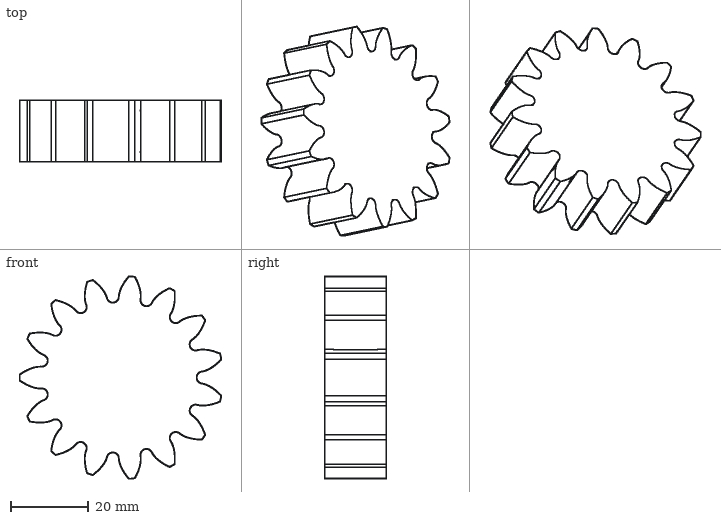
import cadquery as cq
import math

tooth_count = 15
overall_height = 52.65
root_radius = 19.6
base_radius = 21.1
tip_half_angle = math.radians(1.7)
face_width = 16.0
flank_points = 7

pitch_angle = 2 * math.pi / tooth_count

tip_radius = overall_height / 2 / math.cos(pitch_angle / 4 - tip_half_angle)


def involute_angle(radius):
    """Angle swept by the involute between the base circle and a radius."""
    pressure_angle = math.acos(base_radius / radius)
    return math.tan(pressure_angle) - pressure_angle


def polar(radius, angle):
    return (radius * math.cos(angle), radius * math.sin(angle))


base_half_angle = tip_half_angle + involute_angle(tip_radius)


def flank(tooth_angle, side):
    """Points from base to tip on one side (-1 or +1) of a tooth."""
    points = []
    for i in range(flank_points):
        radius = base_radius + (tip_radius - base_radius) * i / (flank_points - 1)
        half_angle = base_half_angle - involute_angle(radius)
        points.append(polar(radius, tooth_angle + side * half_angle))
    return points


def gear_outline():
    """Closed outline of involute teeth joined by round-bottomed gaps."""
    first_angle = math.pi
    outline = cq.Workplane("XZ", origin=(0, face_width / 2, 0)).moveTo(*flank(first_angle, -1)[0])
    for i in range(tooth_count):
        angle = first_angle + i * pitch_angle
        rising = flank(angle, -1)
        falling = flank(angle, 1)[::-1]
        outline = outline.spline(rising[1:], includeCurrent=True)
        outline = outline.threePointArc(polar(tip_radius, angle), falling[0])
        outline = outline.spline(falling[1:], includeCurrent=True)
        gap_bottom = polar(root_radius, angle + pitch_angle / 2)
        next_base = flank(angle + pitch_angle, -1)[0]
        outline = outline.threePointArc(gap_bottom, next_base)
    return outline.close()


result = gear_outline().extrude(face_width)